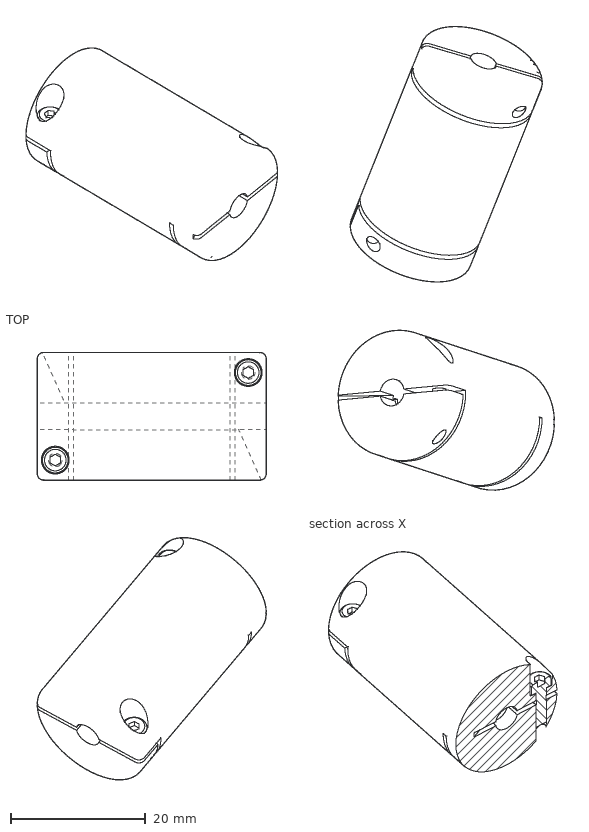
import cadquery as cq
import math

LENGTH = 34.0
OUTER_DIAMETER = 19.0
BORE_DIAMETER = 4.0
END_FILLET = 1.0
RADIUS = OUTER_DIAMETER / 2
END_X = -LENGTH / 2

SAW_WIDTH = 0.75
JAW_LENGTH = 4.62
SLOT_SHALLOW_DEPTH = 0.75
SLOT_END_ANGLE = 24.0
CROSS_CUT_X = END_X + JAW_LENGTH
CROSS_CUT_FAR_X = CROSS_CUT_X + SAW_WIDTH

SCREW_FROM_END = 2.7
SCREW_OFFSET = 6.5
SHANK_DIAMETER = 2.0
HEAD_DIAMETER = 3.8
HEAD_HEIGHT = 2.0
HEAD_CHAMFER = 0.3
HEX_ACROSS_FLATS = 1.5
HEX_DEPTH = 1.0
HEX_SIDES = 6
COUNTERBORE_DIAMETER = 4.1
SEAT_Z = 2.0
TIP_Z = -5.0
SCREW_X = END_X + SCREW_FROM_END
SCREW_Y = -SCREW_OFFSET

END_TURNS = (0, 180)


def turned(solid, angle):
    """Copy of a shape turned about Z."""
    return solid.rotate((0, 0, 0), (0, 0, 1), angle)


def rod(diameter, bottom_z, top_z):
    """Cylinder on the screw axis between two heights."""
    return (
        cq.Workplane("XY", origin=(SCREW_X, SCREW_Y, bottom_z))
        .circle(diameter / 2)
        .extrude(top_z - bottom_z)
    )


def make_blank():
    """Bored cylinder with rounded outer rims."""
    cylinder = cq.Workplane("YZ", origin=(END_X, 0, 0)).circle(RADIUS).extrude(LENGTH)
    rounded = cylinder.edges("%CIRCLE").fillet(END_FILLET)
    bore = cq.Workplane("YZ", origin=(END_X, 0, 0)).circle(BORE_DIAMETER / 2).extrude(LENGTH)
    return rounded.cut(bore)


def make_axial_slot():
    """Slot in the mid plane, full depth beside the screw and with a sloping end on the far side."""
    shallow_x = END_X + SLOT_SHALLOW_DEPTH
    slope_width = (CROSS_CUT_FAR_X - shallow_x) / math.tan(math.radians(SLOT_END_ANGLE))
    outline = [
        (END_X, -RADIUS),
        (CROSS_CUT_FAR_X, -RADIUS),
        (CROSS_CUT_FAR_X, RADIUS - slope_width),
        (shallow_x, RADIUS),
        (END_X, RADIUS),
    ]
    return (
        cq.Workplane("XY", origin=(0, 0, -SAW_WIDTH / 2))
        .polyline(outline)
        .close()
        .extrude(SAW_WIDTH)
    )


def make_cross_cut():
    """Cut across the lower half, from the mid plane down."""
    return (
        cq.Workplane("XY", origin=(CROSS_CUT_X, 0, -RADIUS))
        .box(SAW_WIDTH, OUTER_DIAMETER, RADIUS, centered=(False, True, False))
    )


def make_screw_hole():
    """Through hole for the shank with a counterbore for the head."""
    return rod(SHANK_DIAMETER, -RADIUS, RADIUS).union(rod(COUNTERBORE_DIAMETER, SEAT_Z, RADIUS))


def make_coupling():
    """One-piece coupling with a clamp at each end."""
    coupling = make_blank()
    for angle in END_TURNS:
        for cutter in (make_axial_slot(), make_cross_cut(), make_screw_hole()):
            coupling = coupling.cut(turned(cutter, angle))
    return coupling


def make_screw():
    """Socket head cap screw at the first end."""
    head_top_z = SEAT_Z + HEAD_HEIGHT
    head = rod(HEAD_DIAMETER, SEAT_Z, head_top_z).faces(">Z").edges().chamfer(HEAD_CHAMFER)
    across_corners = HEX_ACROSS_FLATS / math.cos(math.pi / HEX_SIDES)
    socket = (
        cq.Workplane("XY", origin=(SCREW_X, SCREW_Y, head_top_z - HEX_DEPTH))
        .transformed(rotate=(0, 0, 90))
        .polygon(HEX_SIDES, across_corners)
        .extrude(HEX_DEPTH)
    )
    return head.union(rod(SHANK_DIAMETER, TIP_Z, SEAT_Z)).cut(socket)


coupling = make_coupling()
screws = [turned(make_screw(), angle) for angle in END_TURNS]

result = cq.Compound.makeCompound([coupling.val(), *[screw.val() for screw in screws]])